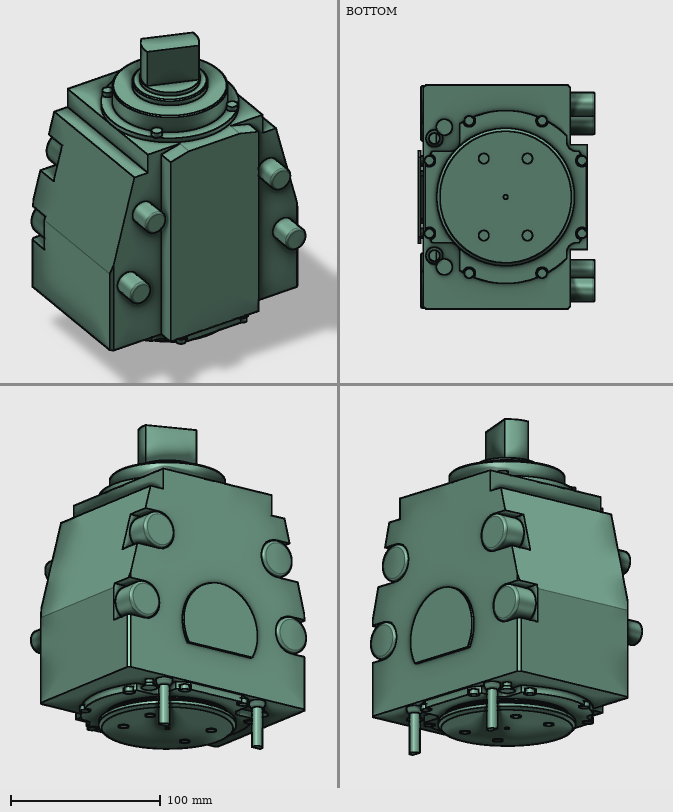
import cadquery as cq

OVERLAP = 0.5

HOUSING_BACK = -55.2
HOUSING_FRONT = 43.3
HOUSING_HEIGHT = 145.7
BASE_HALF_WIDTH = 75.0
SLOPE_START = 60.5
SHOULDER_HEIGHT = 131.3
SHOULDER_HALF_WIDTH = 56.5
NECK_HALF_WIDTH = 45.8
CORNER_CHAMFER = 1.8

PAD_THICKNESS = 11.5
PAD_HALF_WIDTH = 35.0
PAD_TOP_HALF_WIDTH = 20.3
PAD_SHOULDER_HEIGHT = 142.0

UPPER_BOLT = (50.0, 101.7)
LOWER_BOLT = (62.0, 50.2)
BOLT_DIAMETER = 16.2
BOLT_PROJECTION = 16.5
BOLT_TIP_FILLET = 1.4
HEAD_DIAMETER = 25.0
HEAD_PROJECTION = 1.5
HEAD_FILLET = 1.8
RECESS_WIDTH = 26.0
RECESS_DEPTH = 16.5

FLANGE_DIAMETER = 92.0
FLANGE_TOP = 149.0
CAP_DIAMETER = 77.5
CAP_TOP = 161.9
CAP_CHAMFER = 1.0
COLLAR_DIAMETER = 50.6
COLLAR_TOP = 166.2
COLLAR_CHAMFER = 1.0
SHAFT_DIAMETER = 40.4
SHAFT_STEP = 169.0
SHAFT_TOP = 196.0
TANG_DIAMETER = 39.2
TANG_THICKNESS = 16.9
TANG_ANGLE = 70.0
SCREW_HEAD_DIAMETER = 7.3
FLANGE_SCREW_HEIGHT = 3.5
FLANGE_SCREW_OFFSET = 30.0

COVER_DIAMETER = 62.0
COVER_AXIS_Z = 42.0
COVER_FLAT_Z = 26.2
COVER_THICKNESS = 1.8
COVER_GAP = 1.5
COVER_BOSS_DIAMETER = 35.0
COVER_BOSS_FLAT_Z = 32.0
COVER_POST_DIAMETER = 6.8
COVER_POST_Y = 24.2
COVER_POST_Z = 35.3

PLATE_DEPTH = 5.0
PLATE_DIAMETER = 115.8
PLATE_FLAT_X = 53.8
NOTCH_Y = 30.5
BACK_NOTCH_X = -30.5
FRONT_NOTCH_X = 40.8
NOTCH_FILLET = 6.8
PLATE_SCREW_NEAR = 24.5
PLATE_SCREW_FAR = 51.0
PLATE_SCREW_DIAMETER = 6.4
PLATE_SCREW_DEPTH = 5.5
SCREW_POCKET_DIAMETER = 8.2
SCREW_POCKET_ROOF = 2.0

SEAT_DIAMETER = 83.5
SEAT_DEPTH = 6.2
HUB_DIAMETER = 78.2
HUB_DEPTH = 9.1
LOWER_FLANGE_DEPTH = 13.5
LOWER_FLANGE_CHAMFER = 2.0
STUD_DIAMETER = 6.8
STUD_DEPTH = 14.0
STUD_X = 14.5
STUD_Y = 25.8
CENTRE_PIN_DIAMETER = 3.0

PIN_X = -47.7
PIN_Y = 39.2
PIN_DIAMETER = 7.3
PIN_BOTTOM = -32.0
PIN_TIP_CHAMFER = 2.3
PIN_HEAD_DIAMETER = 11.5
CONE_X = -41.0
CONE_Y = 46.7
CONE_NECK_DIAMETER = 5.7
CONE_NECK_DEPTH = 2.5
CONE_HEAD_DIAMETER = 10.7
CONE_DEPTH = 5.5

BOLT_AXES = [(side * y, z) for side in (-1, 1) for y, z in (UPPER_BOLT, LOWER_BOLT)]


def disc(diameter, bottom, top, x=0.0, y=0.0):
    """Upright cylinder between two heights."""
    return cq.Workplane("XY", origin=(x, y, bottom)).circle(diameter / 2).extrude(top - bottom)


def rod(diameter, start, end, y, z):
    """Cylinder along X between two X positions."""
    return cq.Workplane("YZ", origin=(start, y, z)).circle(diameter / 2).extrude(end - start)


def block(x_range, y_range, z_range):
    """Axis-aligned block between pairs of coordinates."""
    sizes = [high - low for low, high in (x_range, y_range, z_range)]
    corner = (x_range[0], y_range[0], z_range[0])
    return cq.Workplane("XY", origin=corner).box(*sizes, centered=False)


def centred_block(length_x, length_y, bottom, top):
    """Block centred on the Z axis."""
    return block((-length_x / 2, length_x / 2), (-length_y / 2, length_y / 2), (bottom, top))


def bolt_recess(y, z):
    """Round-ended slot around a bolt head, open towards the nearer side."""
    outward = BASE_HALF_WIDTH if y > 0 else -BASE_HALF_WIDTH
    recess_end = HOUSING_BACK + RECESS_DEPTH
    y_range = sorted((y, y + outward))
    z_range = (z - RECESS_WIDTH / 2, z + RECESS_WIDTH / 2)
    mouth = block((HOUSING_BACK, recess_end), y_range, z_range)
    return rod(RECESS_WIDTH, HOUSING_BACK, recess_end, y, z).union(mouth)


def make_housing():
    right_side = [
        (BASE_HALF_WIDTH, 0),
        (BASE_HALF_WIDTH, SLOPE_START),
        (SHOULDER_HALF_WIDTH, SHOULDER_HEIGHT),
        (NECK_HALF_WIDTH, SHOULDER_HEIGHT),
        (NECK_HALF_WIDTH, HOUSING_HEIGHT),
    ]
    left_side = [(-y, z) for y, z in reversed(right_side)]
    length = HOUSING_FRONT - HOUSING_BACK
    housing = (
        cq.Workplane("YZ", origin=(HOUSING_BACK, 0, 0))
        .polyline(right_side + left_side)
        .close()
        .extrude(length)
    )
    corner_trim = (
        cq.Workplane("XY", origin=((HOUSING_BACK + HOUSING_FRONT) / 2, 0, 0))
        .rect(length, 2 * BASE_HALF_WIDTH)
        .extrude(HOUSING_HEIGHT)
        .edges("|Z")
        .chamfer(CORNER_CHAMFER)
    )
    housing = housing.intersect(corner_trim)
    for y, z in BOLT_AXES:
        housing = housing.cut(bolt_recess(y, z))
    return housing


def make_front_pad():
    outline = [
        (PAD_HALF_WIDTH, 0),
        (PAD_HALF_WIDTH, PAD_SHOULDER_HEIGHT),
        (PAD_TOP_HALF_WIDTH, HOUSING_HEIGHT),
        (-PAD_TOP_HALF_WIDTH, HOUSING_HEIGHT),
        (-PAD_HALF_WIDTH, PAD_SHOULDER_HEIGHT),
        (-PAD_HALF_WIDTH, 0),
    ]
    return cq.Workplane("YZ", origin=(HOUSING_FRONT, 0, 0)).polyline(outline).close().extrude(PAD_THICKNESS)


def make_bolt(y, z):
    head_start = HOUSING_BACK - HEAD_PROJECTION
    head_end = HOUSING_BACK + RECESS_DEPTH
    head = rod(HEAD_DIAMETER, head_start, head_end, y, z).edges("%CIRCLE").fillet(HEAD_FILLET)
    tip_start = HOUSING_FRONT - OVERLAP
    tip_end = HOUSING_FRONT + BOLT_PROJECTION
    tip = rod(BOLT_DIAMETER, tip_start, tip_end, y, z).faces(">X").fillet(BOLT_TIP_FILLET)
    return [head, tip]


def make_output_end():
    flange = disc(FLANGE_DIAMETER, HOUSING_HEIGHT, FLANGE_TOP)
    cap = disc(CAP_DIAMETER, FLANGE_TOP, CAP_TOP).faces(">Z").chamfer(CAP_CHAMFER)
    collar = disc(COLLAR_DIAMETER, CAP_TOP, COLLAR_TOP).faces(">Z").chamfer(COLLAR_CHAMFER)
    shaft = disc(SHAFT_DIAMETER, COLLAR_TOP, SHAFT_STEP)
    flats = centred_block(TANG_DIAMETER, TANG_THICKNESS, SHAFT_STEP, SHAFT_TOP)
    flats = flats.rotate((0, 0, 0), (0, 0, 1), TANG_ANGLE)
    tang = disc(TANG_DIAMETER, SHAFT_STEP, SHAFT_TOP).intersect(flats)
    parts = [flange, cap, collar, shaft, tang]
    screw_top = FLANGE_TOP + FLANGE_SCREW_HEIGHT
    for x in (-FLANGE_SCREW_OFFSET, FLANGE_SCREW_OFFSET):
        for y in (-FLANGE_SCREW_OFFSET, FLANGE_SCREW_OFFSET):
            parts.append(disc(SCREW_HEAD_DIAMETER, FLANGE_TOP - OVERLAP, screw_top, x, y))
    return parts


def flat_bottomed_rod(diameter, start, end, flat_z):
    """Cylinder along X on the cover axis, cut off below a given height."""
    keep = block((start, end), (-diameter / 2, diameter / 2), (flat_z, COVER_AXIS_Z + diameter / 2))
    return rod(diameter, start, end, 0, COVER_AXIS_Z).intersect(keep)


def make_back_cover():
    inner_face = HOUSING_BACK - COVER_GAP
    outer_face = inner_face - COVER_THICKNESS
    parts = [
        flat_bottomed_rod(COVER_DIAMETER, outer_face, inner_face, COVER_FLAT_Z),
        flat_bottomed_rod(COVER_BOSS_DIAMETER, inner_face, HOUSING_BACK, COVER_BOSS_FLAT_Z),
    ]
    for y in (-COVER_POST_Y, COVER_POST_Y):
        parts.append(rod(COVER_POST_DIAMETER, inner_face, HOUSING_BACK, y, COVER_POST_Z))
    return parts


def make_underside_plate():
    reach = PLATE_DIAMETER / 2 + NOTCH_FILLET
    plate = disc(PLATE_DIAMETER, -PLATE_DEPTH, 0)
    plate = plate.intersect(centred_block(2 * PLATE_FLAT_X, PLATE_DIAMETER, -PLATE_DEPTH, 0))
    for notch_x in ((-reach, BACK_NOTCH_X), (FRONT_NOTCH_X, reach)):
        for notch_y in ((-reach, -NOTCH_Y), (NOTCH_Y, reach)):
            notch = block(notch_x, notch_y, (-PLATE_DEPTH, 0)).edges("|Z").fillet(NOTCH_FILLET)
            plate = plate.cut(notch)
    for near in (-PLATE_SCREW_NEAR, PLATE_SCREW_NEAR):
        for far in (-PLATE_SCREW_FAR, PLATE_SCREW_FAR):
            for x, y in ((near, far), (far, near)):
                pocket = disc(SCREW_POCKET_DIAMETER, -PLATE_DEPTH, -SCREW_POCKET_ROOF, x, y)
                screw = disc(PLATE_SCREW_DIAMETER, -PLATE_SCREW_DEPTH, -SCREW_POCKET_ROOF, x, y)
                plate = plate.cut(pocket).union(screw)
    return [plate]


def make_lower_flange():
    flange = disc(FLANGE_DIAMETER, -LOWER_FLANGE_DEPTH, -HUB_DEPTH)
    parts = [
        disc(SEAT_DIAMETER, -SEAT_DEPTH, 0),
        disc(HUB_DIAMETER, -HUB_DEPTH, -SEAT_DEPTH),
        flange.faces("<Z").chamfer(LOWER_FLANGE_CHAMFER),
        disc(CENTRE_PIN_DIAMETER, -STUD_DEPTH, -LOWER_FLANGE_DEPTH),
    ]
    for x in (-STUD_X, STUD_X):
        for y in (-STUD_Y, STUD_Y):
            parts.append(disc(STUD_DIAMETER, -STUD_DEPTH, -LOWER_FLANGE_DEPTH, x, y))
    return parts


def make_dowel_pin(y):
    """Pin with a ball-shaped head and a slanted cut on the front side of its tip."""
    head = cq.Workplane("XY", origin=(PIN_X, y, 0)).sphere(PIN_HEAD_DIAMETER / 2)
    pin = disc(PIN_DIAMETER, PIN_BOTTOM, 0, PIN_X, y)
    front = PIN_X + PIN_DIAMETER / 2
    tip_cut = (
        cq.Workplane("XZ", origin=(0, y, 0))
        .moveTo(front - PIN_TIP_CHAMFER, PIN_BOTTOM)
        .lineTo(front, PIN_BOTTOM)
        .lineTo(front, PIN_BOTTOM + PIN_TIP_CHAMFER)
        .close()
        .extrude(PIN_DIAMETER, both=True)
    )
    return head.union(pin.cut(tip_cut))


def make_countersunk_screw(y):
    """Neck widening downwards into a conical head."""
    profile = [
        (0, 0),
        (CONE_NECK_DIAMETER / 2, 0),
        (CONE_NECK_DIAMETER / 2, -CONE_NECK_DEPTH),
        (CONE_HEAD_DIAMETER / 2, -CONE_DEPTH),
        (0, -CONE_DEPTH),
    ]
    screw = cq.Workplane("XZ").polyline(profile).close().revolve(360, (0, 0), (0, 1))
    return screw.translate((CONE_X, y, 0))


details = [make_front_pad()]
for bolt_y, bolt_z in BOLT_AXES:
    details += make_bolt(bolt_y, bolt_z)
details += make_output_end() + make_back_cover() + make_underside_plate() + make_lower_flange()
for side in (-1, 1):
    details.append(make_dowel_pin(side * PIN_Y))
    details.append(make_countersunk_screw(side * CONE_Y))

result = make_housing()
for detail in details:
    result = result.union(detail)